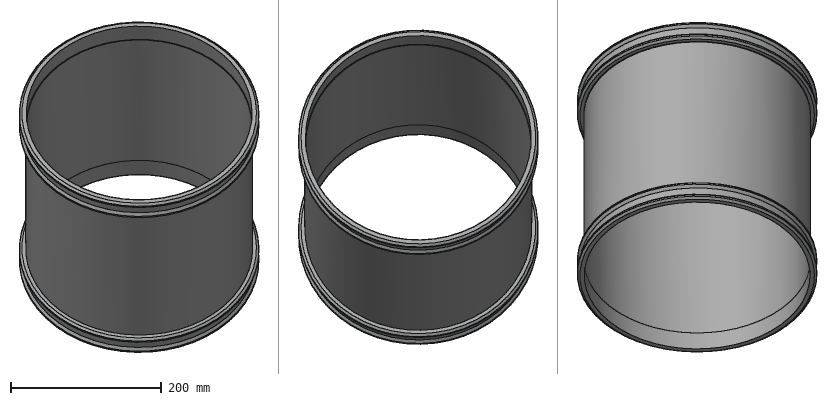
import cadquery as cq

total_height = 309.0
bore_diameter = 300.0
tube_diameter = 302.0
groove_diameter = 311.7
ridge_diameter = 318.5

collar_height = 28.5
outer_bevel_height = 2.5
ridge_land_height = 2.5
inner_bevel_height = 3.8

bore_radius = bore_diameter / 2
tube_radius = tube_diameter / 2
groove_radius = groove_diameter / 2
ridge_radius = ridge_diameter / 2
upper_collar_base = total_height / 2 - collar_height
lower_collar_base = -total_height / 2
tube_base = lower_collar_base + collar_height
tube_height = total_height - 2 * collar_height


def make_collar(base_height):
    """Collar ring symmetric about its own mid-height, standing on base_height."""
    crest_start = outer_bevel_height
    crest_end = crest_start + ridge_land_height
    groove_start = crest_end + inner_bevel_height
    profile = [
        (bore_radius, 0),
        (groove_radius, 0),
        (ridge_radius, crest_start),
        (ridge_radius, crest_end),
        (groove_radius, groove_start),
        (groove_radius, collar_height - groove_start),
        (ridge_radius, collar_height - crest_end),
        (ridge_radius, collar_height - crest_start),
        (groove_radius, collar_height),
        (bore_radius, collar_height),
    ]
    ring = cq.Workplane("XZ").polyline(profile).close().revolve(360, (0, 0, 0), (0, 1, 0))
    return ring.translate((0, 0, base_height))


def make_flanged_tube():
    """Thin-walled tube with a collar formed on its lower end."""
    tube = (
        cq.Workplane("XY", origin=(0, 0, tube_base))
        .circle(tube_radius)
        .circle(bore_radius)
        .extrude(tube_height)
    )
    return tube.union(make_collar(lower_collar_base))


flanged_tube = make_flanged_tube()

upper_collar = make_collar(upper_collar_base)

result = cq.Compound.makeCompound([flanged_tube.val(), upper_collar.val()])